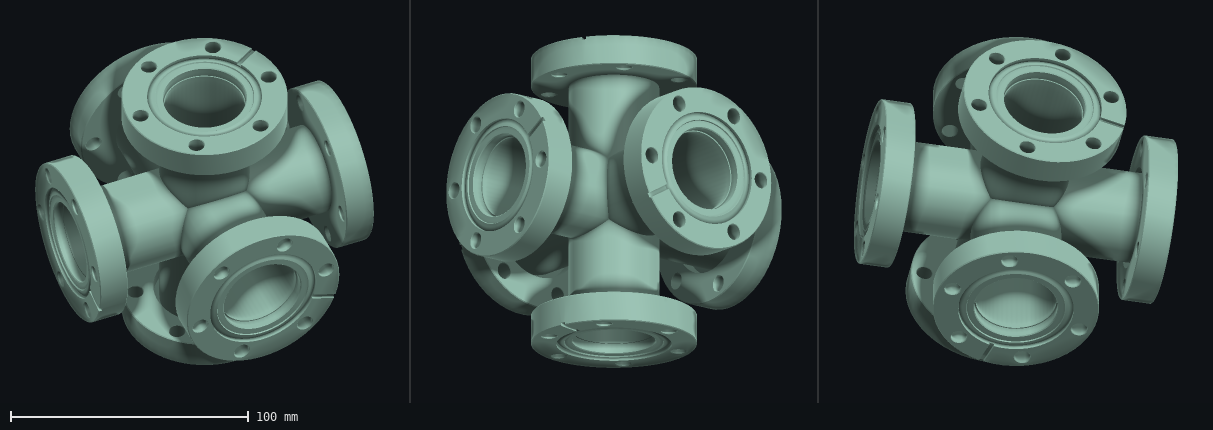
import cadquery as cq

span = 125.4
half_span = span / 2
tube_radius = 19.0
tube_bore_radius = 17.0
tube_end_depth = 5.4

flange_radius = 35.0
flange_thickness = 12.7
rim_chamfer = 0.4
flange_bore_radius = 17.5
bore_chamfer = 0.4

gasket_radius = 24.2
gasket_depth = 1.9
knife_radius = 21.0
knife_depth = 0.5
knife_foot_radius = 20.7
floor_depth = 1.0

bolt_count = 6
bolt_circle_radius = 29.3
bolt_hole_radius = 3.4
bolt_hole_chamfer = 0.3

groove_width = 2.1
groove_depth = 1.3
groove_offset_angle = 30.0

insert_thickness = 7.3
insert_gap = 0.3
ring_recess_radius = gasket_radius + insert_gap / 2
insert_radius = gasket_radius - insert_gap / 2
tube_clearance_radius = 21.6

X = cq.Vector(1, 0, 0)
Y = cq.Vector(0, 1, 0)
Z = cq.Vector(0, 0, 1)
fixed_ports = [
    (-X, -Y, 180.0),
    (Y, -X, 0.0),
    (Z, X, 90.0),
]
rotatable_ports = [
    (X, Y, -49.5),
    (-Y, X, -45.0),
    (-Z, X, -133.5),
]


def place_at_port(body, normal, local_x):
    """Moves a body from the flange frame (sealing face at z = 0, outward = +Z) to its port."""
    plane = cq.Plane(
        origin=(normal * half_span).toTuple(),
        xDir=local_x.toTuple(),
        normal=normal.toTuple(),
    )
    return body.val().located(cq.Location(plane))


def cylinder(radius, bottom, top):
    return cq.Workplane("XY").workplane(offset=bottom).circle(radius).extrude(top - bottom)


def revolved(profile):
    """Turns a closed (radius, height) profile around the Z axis."""
    return cq.Workplane("XZ").polyline(profile).close().revolve(360, (0, 0, 0), (0, 1, 0))


def crossed_rods(radius):
    """Three equal rods along X, Y and Z, joined at the centre."""
    reach = half_span - tube_end_depth
    rods = cq.Workplane("XY").circle(radius).extrude(reach, both=True)
    for plane_name in ("YZ", "XZ"):
        rods = rods.union(cq.Workplane(plane_name).circle(radius).extrude(reach, both=True))
    return rods


def make_cross():
    return crossed_rods(tube_radius).cut(crossed_rods(tube_bore_radius))


def flange_blank():
    return cylinder(flange_radius, -flange_thickness, 0).edges().chamfer(rim_chamfer)


def seal_and_bore():
    """Space removed above the knife edge, along the bore and for the tube end."""
    return revolved([
        (0, 0),
        (gasket_radius, 0),
        (gasket_radius, -gasket_depth),
        (knife_radius, -knife_depth),
        (knife_foot_radius, -floor_depth),
        (flange_bore_radius + bore_chamfer, -floor_depth),
        (flange_bore_radius, -floor_depth - bore_chamfer),
        (flange_bore_radius, -tube_end_depth),
        (tube_radius, -tube_end_depth),
        (tube_radius, -flange_thickness),
        (0, -flange_thickness),
    ])


def bolt_holes(first_bolt_angle):
    """Through holes, chamfered at both ends."""
    mouth_radius = bolt_hole_radius + bolt_hole_chamfer
    hole = revolved([
        (0, 0),
        (mouth_radius, 0),
        (bolt_hole_radius, -bolt_hole_chamfer),
        (bolt_hole_radius, -flange_thickness + bolt_hole_chamfer),
        (mouth_radius, -flange_thickness),
        (0, -flange_thickness),
    ]).val()
    return (
        cq.Workplane("XY")
        .polarArray(bolt_circle_radius, first_bolt_angle, 360, bolt_count)
        .eachpoint(lambda location: hole.located(location), combine=False)
    )


def leak_check_groove(first_bolt_angle):
    """Radial groove in the sealing face, from the gasket recess out through the rim."""
    return (
        cq.Workplane("XY")
        .center(flange_radius / 2, 0)
        .rect(flange_radius, groove_width)
        .extrude(-groove_depth)
        .cut(cylinder(gasket_radius, -groove_depth, 0))
        .rotate((0, 0, 0), (0, 0, 1), first_bolt_angle + groove_offset_angle)
    )


def make_fixed_flange(first_bolt_angle):
    return (
        flange_blank()
        .cut(seal_and_bore())
        .cut(bolt_holes(first_bolt_angle))
        .cut(leak_check_groove(first_bolt_angle))
    )


def make_rotatable_ring(first_bolt_angle):
    return (
        flange_blank()
        .cut(cylinder(ring_recess_radius, -insert_thickness, 0))
        .cut(cylinder(tube_clearance_radius, -flange_thickness, -insert_thickness))
        .cut(bolt_holes(first_bolt_angle))
        .cut(leak_check_groove(first_bolt_angle))
    )


def make_insert():
    return cylinder(insert_radius, -insert_thickness, 0).cut(seal_and_bore())


cross = make_cross()
fixed_flanges = [
    place_at_port(make_fixed_flange(first_bolt_angle), normal, local_x)
    for normal, local_x, first_bolt_angle in fixed_ports
]
rotatable_rings = [
    place_at_port(make_rotatable_ring(first_bolt_angle), normal, local_x)
    for normal, local_x, first_bolt_angle in rotatable_ports
]
inserts = [
    place_at_port(make_insert(), normal, local_x)
    for normal, local_x, _ in rotatable_ports
]

result = cq.Compound.makeCompound([cross.val(), *fixed_flanges, *rotatable_rings, *inserts])